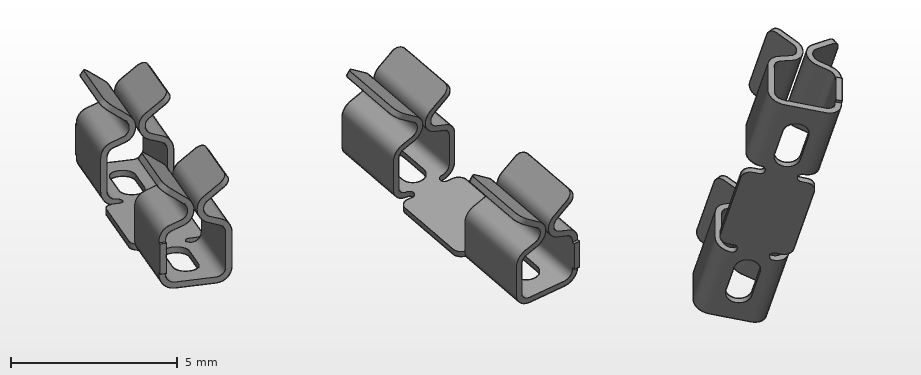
import cadquery as cq
import math

sheet = 0.2
strip_width = 2.28
height = 3.45
inner_radius = 0.3
outer_radius = inner_radius + sheet

shoulder_height = 1.62
shoulder_slope = 20
arm_slope = 36.7
neck_gap = 0.1
tip_corner_radius = 0.3

clip_start = 1.8
clip_length = 2.6
clip_end = clip_start + clip_length
overall_length = 8.99
tab_bottom = 0.56
tab_height = 1.0

plate_length = 3.0
plate_corner_radius = 0.3
bridge_width = 1.0

window_start = 1.97
window_length = 1.78
window_width = 0.8


def polar(center, radius, degrees):
    """Point on a circle in the YZ plane, measured from +Y towards +Z."""
    angle = math.radians(degrees)
    return (center[0] + radius * math.cos(angle), center[1] + radius * math.sin(angle))


def clip_half():
    """The +Y half of one clip, extruded along +X from the clip start."""
    half_width = strip_width / 2
    wall_y = half_width - outer_radius
    floor_bend = (wall_y, outer_radius)
    shoulder_bend = (wall_y, shoulder_height)

    neck_y = neck_gap / 2 + outer_radius
    shoulder_angle = 90 - shoulder_slope
    bend_span = outer_radius + inner_radius
    slope = math.radians(shoulder_slope)
    neck_rise = (bend_span + (wall_y - neck_y) * math.sin(slope)) / math.cos(slope)
    neck_bend = (neck_y, shoulder_height + neck_rise)

    arm_angle = 90 + arm_slope
    arm_inner = polar(neck_bend, outer_radius, arm_angle)
    arm_outer = polar(neck_bend, inner_radius, arm_angle)
    arm_length = (height - arm_inner[1]) / math.sin(math.radians(arm_slope))
    tip_inner = polar(arm_inner, arm_length, arm_slope)
    tip_outer = polar(arm_outer, arm_length, arm_slope)

    neck_low_angle = 180 + shoulder_angle
    neck_middle_angle = (neck_low_angle + arm_angle) / 2
    shoulder_middle_angle = shoulder_angle / 2

    outline = (
        cq.Workplane("YZ", origin=(clip_start, 0, 0))
        .moveTo(0, 0)
        .lineTo(wall_y, 0)
        .threePointArc(polar(floor_bend, outer_radius, -45), polar(floor_bend, outer_radius, 0))
        .lineTo(half_width, shoulder_height)
        .threePointArc(
            polar(shoulder_bend, outer_radius, shoulder_middle_angle),
            polar(shoulder_bend, outer_radius, shoulder_angle),
        )
        .lineTo(*polar(neck_bend, inner_radius, neck_low_angle))
        .threePointArc(polar(neck_bend, inner_radius, neck_middle_angle), arm_outer)
        .lineTo(*tip_outer)
        .lineTo(*tip_inner)
        .lineTo(*arm_inner)
        .threePointArc(
            polar(neck_bend, outer_radius, neck_middle_angle),
            polar(neck_bend, outer_radius, neck_low_angle),
        )
        .lineTo(*polar(shoulder_bend, inner_radius, shoulder_angle))
        .threePointArc(
            polar(shoulder_bend, inner_radius, shoulder_middle_angle),
            polar(shoulder_bend, inner_radius, 0),
        )
        .lineTo(half_width - sheet, outer_radius)
        .threePointArc(polar(floor_bend, inner_radius, -45), polar(floor_bend, inner_radius, -90))
        .lineTo(0, sheet)
        .close()
    )
    tip_direction = cq.Vector(0, tip_outer[0] - tip_inner[0], tip_outer[1] - tip_inner[1])
    tip_corners = cq.selectors.ParallelDirSelector(tip_direction)
    return outline.extrude(clip_length).edges(tip_corners).fillet(tip_corner_radius)


def end_tab():
    """Small tab on the outer edge of the -Y wall."""
    tab_length = overall_length / 2 - clip_end
    return cq.Workplane("XY").box(tab_length, sheet, tab_height, centered=False).translate(
        (clip_end, -strip_width / 2, tab_bottom)
    )


def floor_window():
    """Round-ended opening through the clip floor."""
    return (
        cq.Workplane("XY")
        .center(window_start + window_length / 2, 0)
        .slot2D(window_length, window_width)
        .extrude(sheet)
    )


def clip():
    """The clip on the +X side."""
    half = clip_half()
    return half.union(half.mirror("XZ")).union(end_tab()).cut(floor_window())


def middle_plate():
    """Flat plate with rounded corners and a round-bottomed notch beside each bridge."""
    notch_radius = (clip_start - plate_length / 2) / 2
    notch_x = clip_start - notch_radius
    notch_y = bridge_width / 2 + notch_radius

    plate = (
        cq.Workplane("XY")
        .rect(plate_length, strip_width)
        .extrude(sheet)
        .edges("|Z")
        .fillet(plate_corner_radius)
    )
    bridge = cq.Workplane("XY").rect(2 * clip_start, 2 * notch_y).extrude(sheet)
    notch_ends = (
        cq.Workplane("XY")
        .rect(2 * notch_x, 2 * notch_y, forConstruction=True)
        .vertices()
        .circle(notch_radius)
        .extrude(sheet)
    )
    return plate.union(bridge.cut(notch_ends))


right_clip = clip()
left_clip = right_clip.mirror("YZ")
result = middle_plate().union(right_clip).union(left_clip)